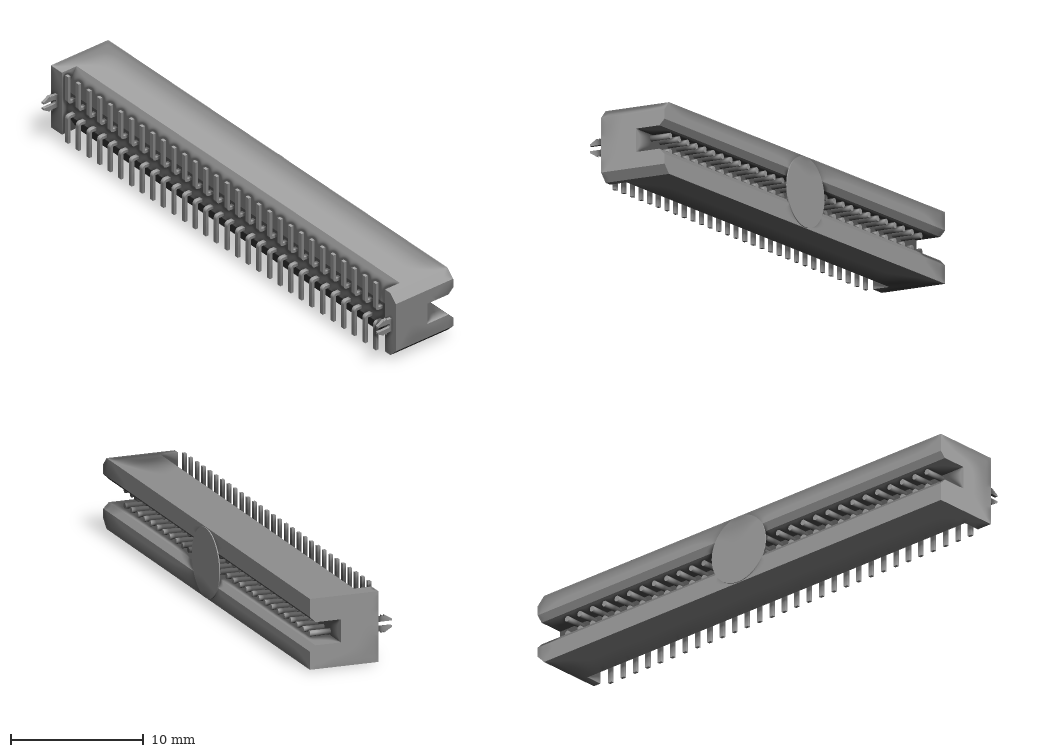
import cadquery as cq
import math


length = 41.25
depth = 5.57
height = 5.57
end_block_width = 1.32
corner_chamfer = 0.65

recess_depth = 1.45
core_face_y = 0.45
core_face_height = 2.1

slot_height = 1.8
slot_depth = 2.5
slot_mouth_chamfer = 0.45

disc_diameter = 5.5
disc_thickness = 0.1

contacts_per_row = 30
row_span = 36.8
pitch = row_span / (contacts_per_row - 1)
first_contact_x = -18.45
rod_center_z = 0.6
leg_root_z = 0.65
rod_diameter = 0.45
rod_length = 1.7
leg_width = 0.35
leg_thickness = 0.25
leg_outer_y = -0.25
leg_tip_z = 2.992
bend_outer_radius = 0.3
bend_inner_radius = bend_outer_radius - leg_thickness

lock_width = 0.25
lock_edge_offset = 0.65
lock_length = 1.32
lock_neck_half_height = 0.58
lock_barb_half_height = 0.7
lock_tip_half_height = 0.35
lock_first_barb = 0.45
lock_second_barb = 0.7
lock_slot_width = 0.37
lock_slot_end = 0.12


def extrude_along_x(profile, width):
    """Extrude a YZ profile symmetrically about X = 0."""
    return profile.extrude(width / 2, both=True)


def make_shell():
    """Housing block with two chamfered edges at its +X end."""
    block = cq.Workplane("XY").box(length, depth, height).translate((0, depth / 2, 0))
    return block.edges("|Y and >X").chamfer(corner_chamfer)


def make_recess(side):
    """Wedge removed above (side = 1) or below (side = -1) the core, plus the space in front of it."""
    profile = (
        cq.Workplane("YZ")
        .moveTo(0, 0)
        .lineTo(core_face_y, 0)
        .lineTo(core_face_y, side * core_face_height / 2)
        .lineTo(recess_depth, side * height / 2)
        .lineTo(0, side * height / 2)
        .close()
    )
    return extrude_along_x(profile, length - 2 * end_block_width)


def make_slot():
    """Mating slot, open at both ends, widening at its mouth."""
    half_slot = slot_height / 2
    half_mouth = half_slot + slot_mouth_chamfer
    bottom_y = depth - slot_depth
    chamfer_y = depth - slot_mouth_chamfer
    profile = cq.Workplane("YZ").polyline([
        (bottom_y, -half_slot),
        (chamfer_y, -half_slot),
        (depth, -half_mouth),
        (depth, half_mouth),
        (chamfer_y, half_slot),
        (bottom_y, half_slot),
    ]).close()
    return extrude_along_x(profile, length)


def make_disc():
    """Thin round pad on the mating face."""
    plane = cq.Workplane("XZ", origin=(0, depth, 0))
    return plane.circle(disc_diameter / 2).extrude(-disc_thickness)


def make_upper_contact():
    """Round rod in the slot and a leg that bends up on the solder side, at X = 0."""
    bottom_y = depth - slot_depth
    rod = (
        cq.Workplane("XZ", origin=(0, bottom_y, rod_center_z))
        .circle(rod_diameter / 2)
        .extrude(-rod_length)
    )
    lower_z = leg_root_z - leg_thickness / 2
    upper_z = leg_root_z + leg_thickness / 2
    leg_inner_y = leg_outer_y + leg_thickness
    bend_y = leg_outer_y + bend_outer_radius
    bend_z = lower_z + bend_outer_radius
    diagonal = math.sqrt(0.5)
    outer_mid = bend_outer_radius * diagonal
    inner_mid = bend_inner_radius * diagonal
    leg_profile = (
        cq.Workplane("YZ")
        .moveTo(core_face_y, lower_z)
        .lineTo(bend_y, lower_z)
        .threePointArc((bend_y - outer_mid, bend_z - outer_mid), (leg_outer_y, bend_z))
        .lineTo(leg_outer_y, leg_tip_z)
        .lineTo(leg_inner_y, leg_tip_z)
        .lineTo(leg_inner_y, bend_z)
        .threePointArc((bend_y - inner_mid, bend_z - inner_mid), (bend_y, upper_z))
        .lineTo(core_face_y, upper_z)
        .close()
    )
    leg = extrude_along_x(leg_profile, leg_width)
    return [rod.val(), leg.val()]


def make_contacts():
    """Pieces of all contacts; the lower row mirrors the upper one."""
    upper_pieces = make_upper_contact()
    lower_pieces = [piece.mirror("XY") for piece in upper_pieces]
    pieces = []
    for index in range(contacts_per_row):
        offset = cq.Vector(first_contact_x + index * pitch, 0, 0)
        pieces += [piece.translate(offset) for piece in upper_pieces + lower_pieces]
    return pieces


def make_housing():
    """Housing with its contacts and disc, as one solid."""
    shell = make_shell().cut(make_recess(1)).cut(make_recess(-1)).cut(make_slot())
    fused = shell.val().fuse(make_disc().val(), *make_contacts())
    return cq.Workplane(fused).solids()


def make_board_lock(x):
    """Flat split peg with two barbs on each prong, standing on the end face at the given X."""
    prong = [
        (0, lock_neck_half_height),
        (-lock_first_barb, lock_neck_half_height),
        (-lock_first_barb, lock_barb_half_height),
        (-lock_second_barb, lock_neck_half_height),
        (-lock_second_barb, lock_barb_half_height),
        (-lock_length, lock_tip_half_height),
    ]
    mirrored_prong = [(y, -z) for y, z in reversed(prong)]
    peg = extrude_along_x(cq.Workplane("YZ").polyline(prong + mirrored_prong).close(), lock_width)
    half_slot = lock_slot_width / 2
    round_center_y = -lock_slot_end - half_slot
    slot_profile = (
        cq.Workplane("YZ")
        .moveTo(-lock_length, -half_slot)
        .lineTo(round_center_y, -half_slot)
        .threePointArc((-lock_slot_end, 0), (round_center_y, half_slot))
        .lineTo(-lock_length, half_slot)
        .close()
    )
    return peg.cut(extrude_along_x(slot_profile, lock_width)).translate((x, 0, 0)).solids()


housing = make_housing()
lock_x = length / 2 - lock_edge_offset
board_locks = [make_board_lock(side * lock_x) for side in (-1, 1)]

result = cq.Compound.makeCompound([housing.val(), *[lock.val() for lock in board_locks]])